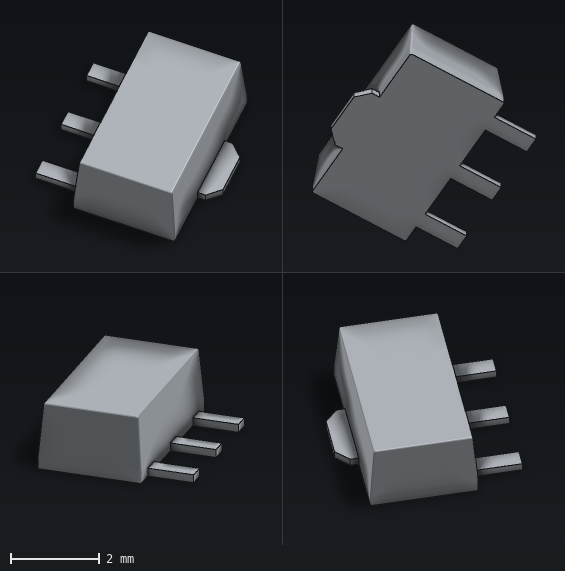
import cadquery as cq
import math

body_length = 4.3
body_width = 2.5
body_height = 1.61
base_height = 0.3
draft_angle = 4.5
edge_radius = 0.05

lead_count = 3
lead_pitch = 1.5
lead_width = 0.4
lead_thickness = 0.2
lead_length = 1.1

tab_length = 0.5
tab_width = 1.6
tab_chamfer = 0.3

embed_depth = 0.215


def make_body():
    """Straight-sided base carrying a drafted upper part, with rounded corners and top edges."""
    base = cq.Workplane("XY").rect(body_width, body_length).extrude(base_height)
    inset = (body_height - base_height) * math.tan(math.radians(draft_angle))
    upper = (
        cq.Workplane("XY", origin=(0, 0, base_height))
        .rect(body_width, body_length)
        .workplane(offset=body_height - base_height)
        .rect(body_width - 2 * inset, body_length - 2 * inset)
        .loft(ruled=True)
    )
    block = base.union(upper)
    return block.edges("(not #Z) or >Z").fillet(edge_radius)


def make_lead(y_center):
    """Flat rectangular lead lying on the base plane."""
    length = lead_length + embed_depth
    return (
        cq.Workplane("XY", origin=(-body_width / 2 - lead_length, y_center, 0))
        .box(length, lead_width, lead_thickness, centered=(False, True, False))
    )


def make_tab():
    """Flat tab with its two outer corners cut off."""
    return (
        cq.Workplane("XY", origin=(body_width / 2 - embed_depth, 0, 0))
        .box(embed_depth + tab_length, tab_width, lead_thickness, centered=(False, True, False))
        .edges("|Z and >X")
        .chamfer(tab_chamfer)
    )


result = make_body().union(make_tab())
for index in range(lead_count):
    result = result.union(make_lead((index - (lead_count - 1) / 2) * lead_pitch))